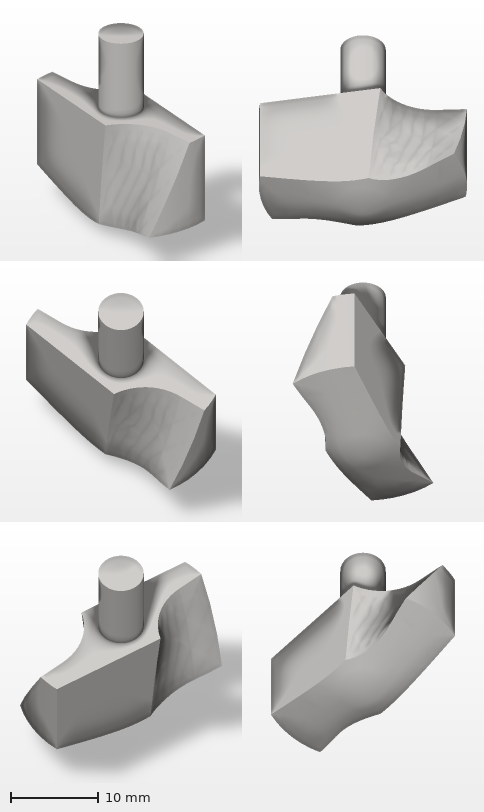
import cadquery as cq
import math

total_height = 24.0
head_diameter = 23.8
head_thickness = 8.06
shank_diameter = 5.2
shank_length = 9.48
tip_height = 3.6

flute_radius = 6.95
lip_x = 8.5
lip_y = 1.03
lip_slope = 8.5
flute_reach = 15.6
twist_per_unit = 2.333

head_radius = head_diameter / 2
head_top = total_height - shank_length


def make_head():
    """Solid of revolution with a conical tip, trimmed to a flat slab."""
    blank = (
        cq.Workplane("XZ")
        .polyline([(0, 0), (head_radius, tip_height), (head_radius, head_top), (0, head_top)])
        .close()
        .revolve(360, (0, 0), (0, 1))
    )
    slab = cq.Workplane("XY").box(
        head_diameter, head_thickness, head_top, centered=(True, True, False)
    )
    return blank.intersect(slab)


def make_flute():
    """Helical cutter on the +X side: a round wall continued by a straight lip."""
    slope = math.radians(lip_slope)
    center_x = lip_x + flute_radius * math.sin(slope)
    center_y = lip_y - flute_radius * math.cos(slope)

    def arc_point(degrees):
        angle = math.radians(degrees)
        return (
            center_x + flute_radius * math.cos(angle),
            center_y + flute_radius * math.sin(angle),
        )

    lip_angle = 90 + lip_slope
    wall_angle = 180
    wall_end = arc_point(wall_angle)
    lip_end_y = lip_y + (flute_reach - lip_x) * math.tan(slope)
    twist = twist_per_unit * head_top

    return (
        cq.Workplane("XY")
        .transformed(rotate=(0, 0, -twist))
        .moveTo(flute_reach, lip_end_y)
        .lineTo(lip_x, lip_y)
        .threePointArc(arc_point((lip_angle + wall_angle) / 2), wall_end)
        .lineTo(wall_end[0], -flute_reach)
        .lineTo(flute_reach, -flute_reach)
        .close()
        .twistExtrude(head_top, twist)
    )


flute = make_flute()
head = make_head()
for turn in (0, 180):
    head = head.cut(flute.rotate((0, 0, 0), (0, 0, 1), turn))

shank = (
    cq.Workplane("XY", origin=(0, 0, head_top))
    .circle(shank_diameter / 2)
    .extrude(shank_length)
)

result = head.union(shank)